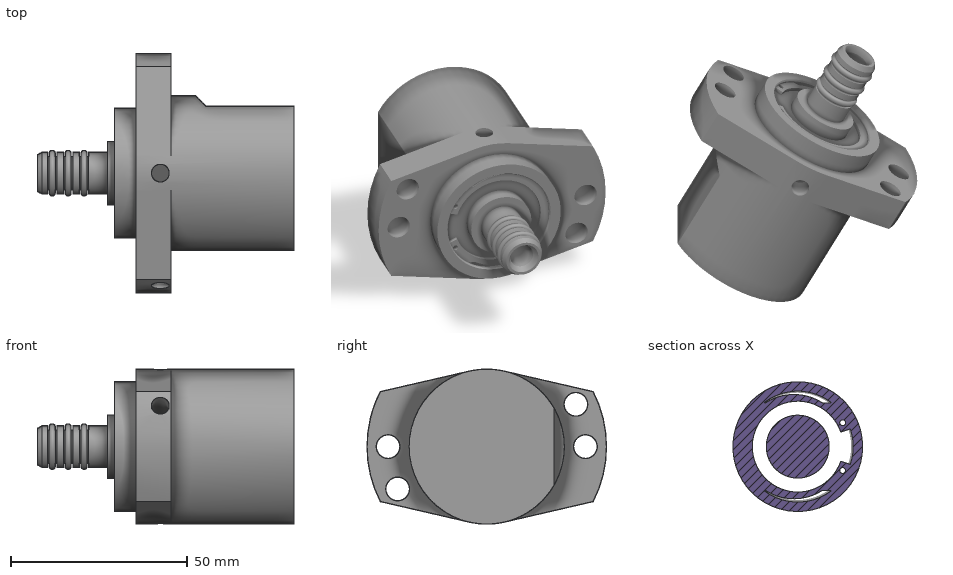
import cadquery as cq
import math

total_length = 72.9

shaft_diameter = 11.95
tip_chamfer_length = 1.4
tip_chamfer_height = 0.8
bore_diameter = 6.8
bore_mouth_diameter = 8.75
bore_mouth_depth = 1.7
collar_diameter = 18.0
collar_front = 19.9
bore_depth = collar_front

seal_count = 3
first_seal_x = 4.2
seal_pitch = 4.5
seal_section = 1.75
groove_width = 2.6
groove_diameter = 9.5

boss_diameter = 36.95
boss_front = 21.9
flange_front = 28.0
flange_thickness = 10.0
flange_outer_radius = 68.0 / 2
taper_angle = 13.0

barrel_diameter = 44.0
barrel_radius = barrel_diameter / 2
flat_y = 19.0
flat_ramp_start = 44.8

bolt_diameter = 6.6
bolt_circle_radius = 28.0
bolt_angle_step = 25.4
bolt_angles = (0, bolt_angle_step, 180, 180 + bolt_angle_step)
port_diameter = 5.0
port_x = 34.9
port_inner_radius = 14.6
port_overrun = 0.7
ports = ((0, barrel_radius), (70, flange_outer_radius), (180, barrel_radius))

recess_diameter = 30.5
recess_radius = recess_diameter / 2
recess_chamfer_height = 0.3
recess_chamfer_length = 0.45
ring_groove_depth = 0.45
recess_depth = 2.05
ring_thickness = 1.1
ring_inner_radius = 12.8
ring_gap_half_angle = 18.4
relief_offset = 1.1
relief_radius = 14.9
relief_start_z = 12.5
ring_hole_diameter = 1.5
ring_hole_radius = 14.4
ring_hole_angle = 28.0
ring_groove_diameter = recess_diameter + 2 * ring_groove_depth
recess_floor = boss_front + recess_depth
ring_front = recess_floor - ring_thickness


def plane_at(x):
    """Plane across the axis at x, with its local axes along Y and Z and its normal along +X."""
    return cq.Workplane("YZ", origin=(x, 0, 0))


def disc(x_start, x_end, diameter):
    return plane_at(x_start).circle(diameter / 2).extrude(x_end - x_start)


def polar_point(radius, angle):
    """Y and Z at a radius from the axis, with the angle turned from +Y towards +Z."""
    return radius * math.cos(math.radians(angle)), radius * math.sin(math.radians(angle))


def seal_positions():
    return [first_seal_x + i * seal_pitch for i in range(seal_count)]


def make_shaft():
    """Stepped shaft with a chamfered tip, a countersunk blind bore and the seal grooves."""
    radius = shaft_diameter / 2
    profile = [
        (0, bore_mouth_diameter / 2),
        (0, radius - tip_chamfer_height),
        (tip_chamfer_length, radius),
        (collar_front, radius),
        (collar_front, collar_diameter / 2),
        (recess_floor, collar_diameter / 2),
        (recess_floor, 0),
        (bore_depth, 0),
        (bore_depth, bore_diameter / 2),
        (bore_mouth_depth, bore_diameter / 2),
    ]
    shaft = cq.Workplane("XY").polyline(profile).close().revolve(360, (0, 0, 0), (1, 0, 0))
    for x in seal_positions():
        groove = (
            plane_at(x - groove_width / 2)
            .circle(shaft_diameter)
            .circle(groove_diameter / 2)
            .extrude(groove_width)
        )
        shaft = shaft.cut(groove)
    return shaft


def make_flange():
    """Plate with round ends whose tapered sides run tangent to the barrel circle.

    Straight chords close the plate inside the barrel, which forms the crests between the tapers.
    """
    tangent = math.radians(taper_angle)
    corner = tangent + math.acos(barrel_radius / flange_outer_radius)
    tangent_y = barrel_radius * math.sin(tangent)
    tangent_z = barrel_radius * math.cos(tangent)
    corner_y = flange_outer_radius * math.sin(corner)
    corner_z = flange_outer_radius * math.cos(corner)
    return (
        plane_at(flange_front)
        .moveTo(-tangent_y, tangent_z)
        .lineTo(tangent_y, tangent_z)
        .lineTo(corner_y, corner_z)
        .threePointArc((flange_outer_radius, 0), (corner_y, -corner_z))
        .lineTo(tangent_y, -tangent_z)
        .lineTo(-tangent_y, -tangent_z)
        .lineTo(-corner_y, -corner_z)
        .threePointArc((-flange_outer_radius, 0), (-corner_y, corner_z))
        .close()
        .extrude(flange_thickness)
    )


def make_bolt_holes():
    """Two pairs of through holes, opposite each other across the axis."""
    spots = [polar_point(bolt_circle_radius, angle) for angle in bolt_angles]
    return plane_at(flange_front).pushPoints(spots).circle(bolt_diameter / 2).extrude(flange_thickness)


def make_port(angle, surface_radius):
    """Radial blind hole; the angle turns it about X from +Z towards -Y."""
    return (
        cq.Workplane("XY", origin=(port_x, 0, port_inner_radius))
        .circle(port_diameter / 2)
        .extrude(surface_radius - port_inner_radius + port_overrun)
        .rotate((0, 0, 0), (1, 0, 0), angle)
    )


def make_barrel():
    """Rear cylinder with a flat on its +Y side that a 45 degree ramp leads into."""
    ramp = barrel_radius - flat_y
    cutter = (
        cq.Workplane("XY", origin=(0, 0, -barrel_radius))
        .polyline(
            [
                (flat_ramp_start, barrel_radius),
                (flat_ramp_start + ramp, flat_y),
                (total_length, flat_y),
                (total_length, barrel_radius),
            ]
        )
        .close()
        .extrude(barrel_diameter)
    )
    return disc(flange_front, total_length, barrel_diameter).cut(cutter)


def make_retaining_ring():
    """C-shaped ring in the recess groove, open towards +Y, with two plier holes.

    An eccentric circle relieves its outer edge at the top and bottom.
    """
    band = plane_at(ring_front).rect(2 * recess_diameter, 2 * relief_start_z).extrude(ring_thickness)
    eccentric = plane_at(ring_front).center(-relief_offset, 0).circle(relief_radius).extrude(ring_thickness)
    ring = disc(ring_front, recess_floor, ring_groove_diameter).intersect(band.union(eccentric))
    ring = ring.cut(disc(ring_front, recess_floor, 2 * ring_inner_radius))

    gap_y = recess_diameter
    gap_z = gap_y * math.tan(math.radians(ring_gap_half_angle))
    gap_outline = [(0, 0), (gap_y, gap_z), (gap_y, -gap_z)]
    gap = plane_at(ring_front).polyline(gap_outline).close().extrude(ring_thickness)

    hole_spots = [polar_point(ring_hole_radius, side * ring_hole_angle) for side in (1, -1)]
    holes = (
        plane_at(ring_front)
        .pushPoints(hole_spots)
        .circle(ring_hole_diameter / 2)
        .extrude(ring_thickness)
    )
    return ring.cut(gap).cut(holes)


def make_recessed_boss():
    """Pilot boss with a chamfered recess and the groove that holds the retaining ring."""
    boss = disc(boss_front, flange_front, boss_diameter)
    recess = disc(boss_front, recess_floor, recess_diameter)
    mouth = cq.Solid.makeCone(
        recess_radius + recess_chamfer_height,
        recess_radius,
        recess_chamfer_length,
        cq.Vector(boss_front, 0, 0),
        cq.Vector(1, 0, 0),
    )
    groove = disc(ring_front, recess_floor, ring_groove_diameter)
    return boss.cut(recess).cut(cq.Workplane(mouth)).cut(groove)


def make_joint_body():
    """Flange, barrel, boss, retaining ring and shaft as one solid."""
    body = make_flange().union(make_barrel()).cut(make_bolt_holes())
    for angle, surface_radius in ports:
        body = body.cut(make_port(angle, surface_radius))
    return body.union(make_recessed_boss()).union(make_retaining_ring()).union(make_shaft())


def make_seal(x):
    """O-ring resting on the floor of its groove."""
    section_radius = seal_section / 2
    ring_radius = groove_diameter / 2 + section_radius
    return cq.Solid.makeTorus(ring_radius, section_radius, cq.Vector(x, 0, 0), cq.Vector(1, 0, 0))


joint_body = make_joint_body()
seals = [make_seal(x) for x in seal_positions()]

result = cq.Compound.makeCompound([joint_body.val(), *seals])